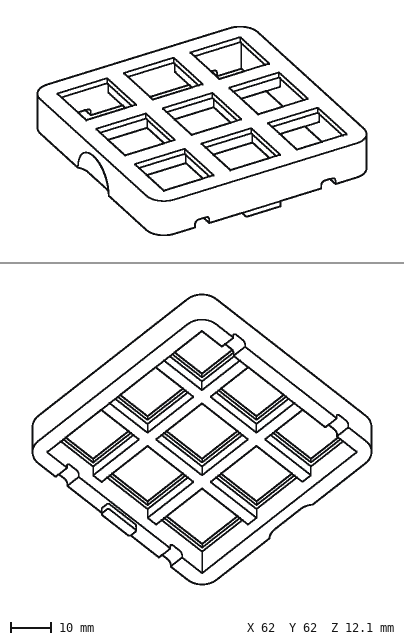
import cadquery as cq

side = 62.0
height = 10.0
corner_radius = 5.0
wall = 4.0

windows_per_side = 3
window_pitch = 19.0
window_size = 14.2
lip_thickness = 1.5
rib_bottom = 5.0

dish_radius = 7.5
dish_floor_radius = 4.5
dish_depth = 1.1

notch_width = 4.0
notch_height = 2.0
notch_corner_radius = 1.0
notch_offset = 18.0

key_length = 10.0
key_width = 2.6
key_drop = 2.05
key_corner_radius = 0.5

cavity_side = side - 2 * wall
window_span = (windows_per_side - 1) * window_pitch
recess_size = cavity_side - window_span


def window_grid(size, bottom, top):
    """Square prisms at every window position, between two heights."""
    return (
        cq.Workplane("XY")
        .workplane(offset=bottom)
        .rarray(window_pitch, window_pitch, windows_per_side, windows_per_side)
        .rect(size, size)
        .extrude(top - bottom)
    )


def frame():
    """Hollow block with ribs between the windows under a thin top plate."""
    block = cq.Workplane("XY").box(side, side, height, centered=(True, True, False))
    block = block.edges("|Z").fillet(corner_radius)
    cavity = cq.Workplane("XY").rect(cavity_side, cavity_side).extrude(rib_bottom)
    windows = window_grid(window_size, 0, height)
    recesses = window_grid(recess_size, 0, height - lip_thickness)
    return block.cut(cavity).cut(windows).cut(recesses)


def finger_dish():
    """Round dish centred on the lower front edge, revolved about the Y direction."""
    border_width = dish_radius - dish_floor_radius
    arc_radius = (border_width**2 + dish_depth**2) / (2 * dish_depth)
    front = -side / 2
    floor = front + dish_depth
    return (
        cq.Workplane("XY")
        .moveTo(0, front)
        .lineTo(dish_radius, front)
        .radiusArc((dish_floor_radius, floor), -arc_radius)
        .lineTo(0, floor)
        .close()
        .revolve(360, (0, 0), (0, 1))
    )


def side_notches():
    """Channels with rounded top corners along X, open at the bottom, through both side walls."""
    return (
        cq.Workplane("XY")
        .pushPoints([(0, -notch_offset), (0, notch_offset)])
        .box(side, notch_width, notch_height, centered=(True, True, False))
        .edges("|X and >Z")
        .fillet(notch_corner_radius)
    )


def locating_key():
    """Short bar with rounded corners, centred under the right-hand wall."""
    return (
        cq.Workplane("XY")
        .center((side - wall) / 2, 0)
        .rect(key_width, key_length)
        .extrude(-key_drop)
        .edges("|Z")
        .fillet(key_corner_radius)
    )


result = frame().cut(finger_dish()).cut(side_notches()).union(locating_key())